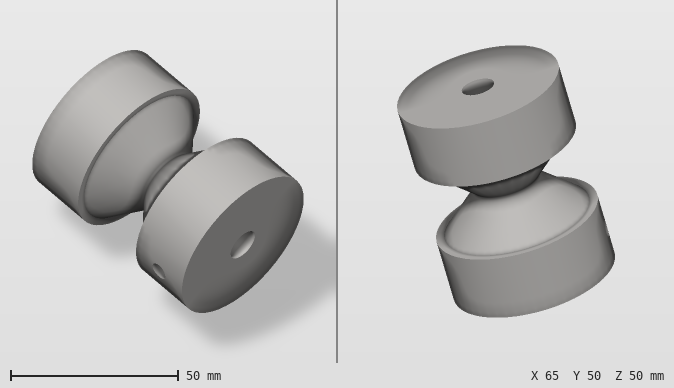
import cadquery as cq
import math

length = 65.0
drum_diameter = 50.0
drum_width = 19.95
bore_diameter = 10.0

cone_diameter = 45.0
cone_angle = math.radians(45)
neck_width = 1.2

screw_hole_diameter = 5.5

half_length = length / 2
drum_radius = drum_diameter / 2
drum_inner_x = half_length - drum_width
screw_hole_x = half_length - drum_width / 2


def spool_body():
    """Two drums joined by opposed cones with a rounded neck, revolved about the X axis."""
    cone_radius = cone_diameter / 2
    neck_x = neck_width / 2
    neck_edge_radius = cone_radius - (drum_inner_x - neck_x) * math.tan(cone_angle)
    neck_depth = neck_x * math.tan(cone_angle / 2)
    return (
        cq.Workplane("XY")
        .moveTo(-half_length, 0)
        .lineTo(-half_length, drum_radius)
        .lineTo(-drum_inner_x, drum_radius)
        .lineTo(-drum_inner_x, cone_radius)
        .lineTo(-neck_x, neck_edge_radius)
        .threePointArc((0, neck_edge_radius - neck_depth), (neck_x, neck_edge_radius))
        .lineTo(drum_inner_x, cone_radius)
        .lineTo(drum_inner_x, drum_radius)
        .lineTo(half_length, drum_radius)
        .lineTo(half_length, 0)
        .close()
        .revolve(360, (0, 0, 0), (1, 0, 0))
    )


def axial_bore():
    """Through bore along X."""
    return cq.Workplane("YZ", origin=(-half_length, 0, 0)).circle(bore_diameter / 2).extrude(length)


def screw_hole():
    """Hole from the axis out through the -Y side of the drum."""
    return (
        cq.Workplane("XZ", origin=(screw_hole_x, 0, 0))
        .circle(screw_hole_diameter / 2)
        .extrude(drum_diameter)
    )


result = spool_body().cut(axial_bore()).cut(screw_hole())